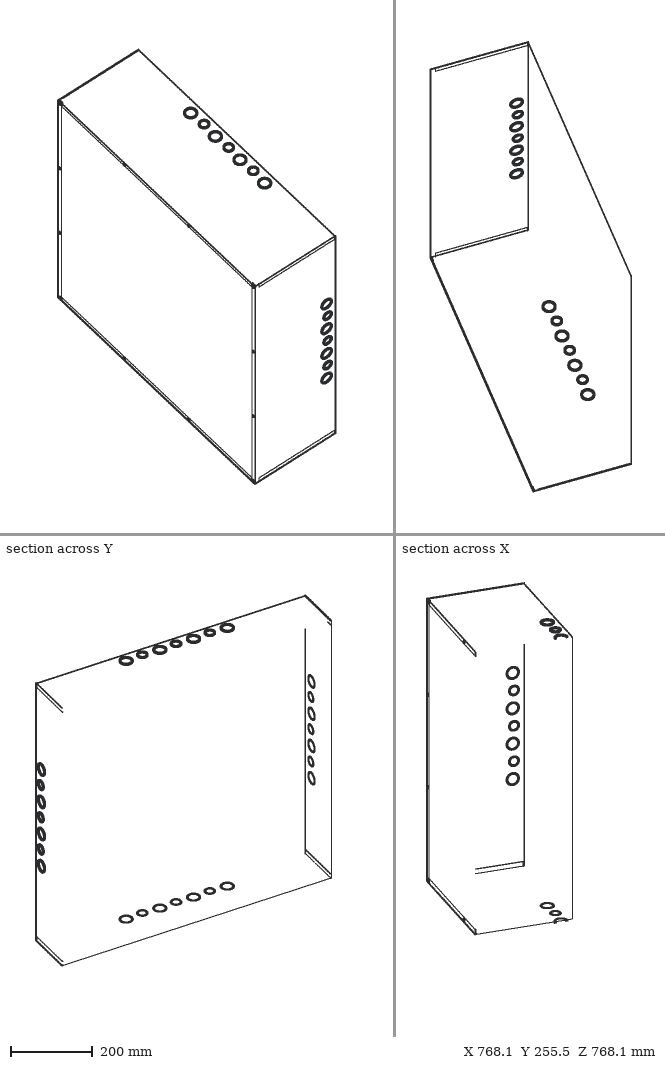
import cadquery as cq

sheet = 1.524
wide_bend_inside = 1.2 * sheet
wide_bend_outside = wide_bend_inside + sheet
tight_bend_inside = 0.175
tight_bend_outside = tight_bend_inside + sheet

outer_side = 762.0
depth = 254.0
half_outer = outer_side / 2
half_inner = half_outer - sheet

front_flange = 12.7
front_flange_gap = 2.0
side_flange = 12.7
side_flange_front = 12.7
side_flange_back = depth - wide_bend_outside

cover_hole = 7.92
flange_hole = 4.29
screw_inset = 7.5
screws_per_side = 4
screw_span = outer_side - 2 * screw_inset
screw_pitch = screw_span / (screws_per_side - 1)

large_knockout = 34.925
small_knockout = 28.575
groove_inside_step = 6.35
ring_height = 2 * sheet
knockout_pitch = 47.625
knockouts_per_wall = 7
knockout_back_edge = depth - 12.7


def block(x, y, z):
    """A block spanning the given (low, high) ranges."""
    size = [high - low for low, high in (x, y, z)]
    corner = (x[0], y[0], z[0])
    return cq.Workplane("XY").box(*size, centered=False).translate(corner)


def symmetric(half):
    """The range from -half to +half."""
    return (-half, half)


def with_mirror(shape, plane):
    """The shape together with its mirror image."""
    return shape.union(shape.mirror(plane))


def knockout_row():
    """Place along the wall, Y of the centre and diameter of each knockout."""
    for i in range(knockouts_per_wall):
        diameter = large_knockout if i % 2 == 0 else small_knockout
        along = (i - (knockouts_per_wall - 1) / 2) * knockout_pitch
        yield along, knockout_back_edge - diameter / 2, diameter


def add_knockouts(wall, on_top):
    """Press a row of rings, with a groove behind each, into the top (+Z) or left (-X) wall."""
    for along, y, diameter in knockout_row():
        if on_top:
            inner_face = cq.Plane((along, y, half_inner), xDir=(1, 0, 0), normal=(0, 0, 1))
        else:
            inner_face = cq.Plane((-half_inner, y, along), xDir=(0, 1, 0), normal=(-1, 0, 0))
        ring_radius = diameter / 2
        groove_inner_radius = (diameter - groove_inside_step) / 2
        ring = (
            cq.Workplane(inner_face)
            .workplane(offset=sheet)
            .circle(ring_radius)
            .circle(groove_inner_radius - sheet)
            .extrude(ring_height)
        )
        groove = (
            cq.Workplane(inner_face)
            .circle(ring_radius - sheet)
            .circle(groove_inner_radius)
            .extrude(ring_height)
        )
        wall = wall.union(ring).cut(groove)
    return wall


def screw_places():
    """Centres (X, Z) of the screws around the rim."""
    steps = [i * screw_pitch - screw_span / 2 for i in range(screws_per_side)]
    ends = (steps[0], steps[-1])
    return [(x, z) for x in steps for z in steps if x in ends or z in ends]


def screw_holes(diameter, y_front):
    """Cutters for the screw holes through one sheet whose front face is at y_front."""
    return (
        cq.Workplane("XZ", origin=(0, y_front, 0))
        .pushPoints(screw_places())
        .circle(diameter / 2)
        .extrude(-sheet)
    )


def bent_channel():
    """Front flanges, top, back and bottom as one strip bent about X."""
    outside = block(symmetric(half_inner), (0, depth), symmetric(half_outer))
    outside = outside.edges("|X").fillet(wide_bend_outside)
    inside = block(symmetric(half_inner), (sheet, depth - sheet), symmetric(half_inner))
    inside = inside.edges("|X").fillet(wide_bend_inside)
    opening = block(symmetric(half_inner), (0, sheet), symmetric(half_outer - front_flange))
    flange_end = half_outer - front_flange - front_flange_gap
    corner = block((flange_end, half_inner), (0, wide_bend_outside), symmetric(half_outer))
    return outside.cut(inside).cut(opening).cut(with_mirror(corner, "YZ"))


def add_side_flanges(channel):
    """Turn the side edges of the top and bottom inwards, to lie against the side panels."""
    y_range = (side_flange_front, side_flange_back)
    x_range = (half_inner - tight_bend_outside, half_inner)
    zone = block(x_range, y_range, (half_outer - side_flange, half_outer))
    zones = with_mirror(with_mirror(zone, "XY"), "YZ")
    outside = block(symmetric(half_inner), y_range, symmetric(half_outer))
    outside = outside.edges("|Y").fillet(tight_bend_outside)
    inside = block(symmetric(half_inner - sheet), y_range, symmetric(half_inner))
    inside = inside.edges("|Y").fillet(tight_bend_inside)
    return channel.cut(zones).union(outside.cut(inside).intersect(zones))


def make_wrapper():
    """Top, back and bottom of the enclosure."""
    wall = add_side_flanges(bent_channel())
    wall = add_knockouts(wall, on_top=True)
    wall = add_knockouts(wall.mirror("XY"), on_top=True)
    return wall.cut(screw_holes(flange_hole, 0))


def make_left_panel():
    """Flat side with a flange turned inwards along the front."""
    flange_x = (-half_outer, -half_outer + front_flange)
    outside = block(flange_x, (0, depth), symmetric(half_outer))
    outside = outside.edges("|Z and <X and <Y").fillet(tight_bend_outside)
    inside = block(symmetric(half_inner), (sheet, depth), symmetric(half_outer))
    inside = inside.edges("|Z and <X and <Y").fillet(tight_bend_inside)
    flange_end = block(flange_x, (0, tight_bend_outside), (half_inner, half_outer))
    panel = outside.cut(inside).cut(with_mirror(flange_end, "XY"))
    panel = add_knockouts(panel, on_top=False)
    return panel.cut(screw_holes(flange_hole, 0))


def make_cover():
    """Flat plate over the front rim."""
    plate = block(symmetric(half_outer), (-sheet, 0), symmetric(half_outer))
    return plate.cut(screw_holes(cover_hole, -sheet))


wrapper = make_wrapper()
left_panel = make_left_panel()
right_panel = left_panel.mirror("YZ")
cover = make_cover()

result = cq.Compound.makeCompound(
    [wrapper.val(), left_panel.val(), right_panel.val(), cover.val()]
)